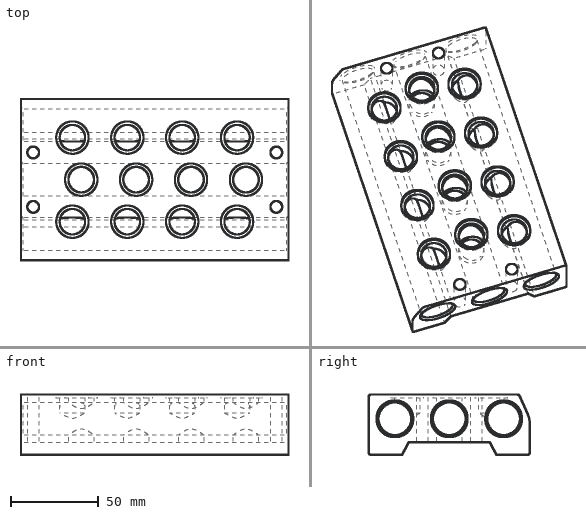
import cadquery as cq
import math

length = 152.6
width = 92.0
height = 34.5
edge_radius = 1.5
slant_run = 6.3
slant_drop = 13.9
slant_blend_radius = 15.3

channel_depth = 7.2
channel_top_width = 46.1
channel_mouth_width = 53.7

bore_diameter = 18.6
bore_chamfer = 1.2
bore_pitch = 31.0
bore_height = 20.6

port_count = 4
port_pitch = 31.3
port_diameter = 14.5
port_seat_diameter = 18.5
port_seat_depth = 2.0
outer_port_offset = 24.0
outer_port_depth = 10.7
middle_port_shift = 5.0
drill_point_angle = 118.0

mount_diameter = 6.5
mount_inset = 7.0
mount_spacing = 31.0


def make_body():
    """Extrude the end outline along X and round its long edges."""
    side = width / 2
    top_half = channel_top_width / 2
    mouth_half = channel_mouth_width / 2
    outline = [
        (-side, 0),
        (-mouth_half, 0),
        (-top_half, channel_depth),
        (top_half, channel_depth),
        (mouth_half, 0),
        (side, 0),
        (side, height - slant_drop),
        (side - slant_run, height),
        (-side, height),
    ]
    body = cq.Workplane("YZ").polyline(outline).close().extrude(length / 2, both=True)

    def long_edge(y, z):
        return cq.selectors.NearestToPointSelector((0, y, z))

    sharp_corners = [(-side, 0), (side, 0), (side - slant_run, height), (-side, height)]
    for y, z in sharp_corners:
        body = body.edges(long_edge(y, z)).fillet(edge_radius)
    return body.edges(long_edge(side, height - slant_drop)).fillet(slant_blend_radius)


def make_bore(y):
    """Full-length gallery bore with a chamfered mouth at each end."""
    radius = bore_diameter / 2
    mouth_radius = radius + bore_chamfer
    half = length / 2
    section = [
        (-half, 0),
        (-half, mouth_radius),
        (-half + bore_chamfer, radius),
        (half - bore_chamfer, radius),
        (half, mouth_radius),
        (half, 0),
    ]
    cutter = cq.Workplane("XY").polyline(section).close().revolve(360, (0, 0), (1, 0))
    return cutter.translate((0, y, bore_height))


def make_blind_port():
    """Drilled hole with a conical bottom, its mouth at the origin."""
    radius = port_diameter / 2
    point_depth = radius / math.tan(math.radians(drill_point_angle / 2))
    section = [
        (0, 0),
        (radius, 0),
        (radius, -outer_port_depth),
        (0, -outer_port_depth - point_depth),
    ]
    return cq.Workplane("XZ").polyline(section).close().revolve(360, (0, 0), (0, 1))


result = make_body()

for row in (-1, 0, 1):
    result = result.cut(make_bore(row * bore_pitch))

blind_port = make_blind_port()
through_port = cq.Workplane("XY").circle(port_diameter / 2).extrude(-height)
port_seat = cq.Workplane("XY").circle(port_seat_diameter / 2).extrude(-port_seat_depth)

for row in (-1, 0, 1):
    port = through_port if row == 0 else blind_port
    row_shift = middle_port_shift if row == 0 else 0
    for index in range(port_count):
        x = (index - (port_count - 1) / 2) * port_pitch + row_shift
        position = (x, row * outer_port_offset, height)
        result = result.cut(port.translate(position)).cut(port_seat.translate(position))

mount_holes = (
    cq.Workplane("XY")
    .rect(length - 2 * mount_inset, mount_spacing, forConstruction=True)
    .vertices()
    .circle(mount_diameter / 2)
    .extrude(height)
)
result = result.cut(mount_holes)